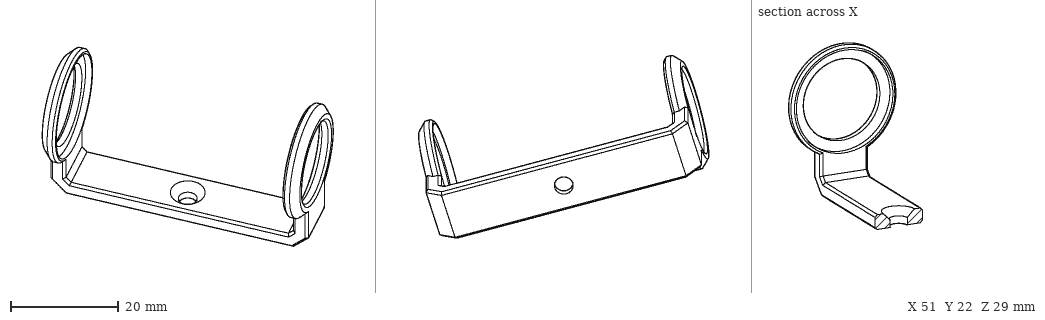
import cadquery as cq

length = 51.0
strap_width = 10.0
thickness = 3.0
edge_chamfer = 0.5
outer_corner = 3.0
inner_corner = 1.0

ring_diameter = 22.0
ring_axis_height = 18.0
ring_outer_chamfer = 1.5
ring_inner_chamfer = 0.5
bore_diameter = 16.0
bore_chamfer = 0.5
recess_diameter = 20.2
recess_depth = 1.25

screw_diameter = 3.5
countersink_diameter = 6.5
countersink_angle = 90.0

half_length = length / 2
inner_half_length = half_length - thickness


def make_strap():
    """U-shaped strap with bevelled corners; its arms reach up to the ring axis."""
    outline = [
        (-half_length, ring_axis_height),
        (-half_length, outer_corner),
        (-half_length + outer_corner, 0),
        (half_length - outer_corner, 0),
        (half_length, outer_corner),
        (half_length, ring_axis_height),
        (inner_half_length, ring_axis_height),
        (inner_half_length, thickness + inner_corner),
        (inner_half_length - inner_corner, thickness),
        (-inner_half_length + inner_corner, thickness),
        (-inner_half_length, thickness + inner_corner),
        (-inner_half_length, ring_axis_height),
    ]
    strap = cq.Workplane("XZ").polyline(outline).close().extrude(strap_width / 2, both=True)
    return strap.faces("<Y or >Y").chamfer(edge_chamfer)


def revolve_at_left_end(profile):
    """Revolve (depth from the outer face, radius) points about the left ring axis."""
    plane = cq.Plane(origin=(-half_length, 0, ring_axis_height), xDir=(1, 0, 0), normal=(0, -1, 0))
    return cq.Workplane(plane).polyline(profile).close().revolve(360, (0, 0), (1, 0))


def make_ring_disc():
    """Solid disc with a wide bevel outside and a narrow bevel inside."""
    radius = ring_diameter / 2
    return revolve_at_left_end([
        (0, 0),
        (0, radius - ring_outer_chamfer),
        (ring_outer_chamfer, radius),
        (thickness - ring_inner_chamfer, radius),
        (thickness, radius - ring_inner_chamfer),
        (thickness, 0),
    ])


def make_ring_opening():
    """Bore with a bevelled outer mouth and a wider recess on the inner side."""
    bore_radius = bore_diameter / 2
    recess_radius = recess_diameter / 2
    recess_floor = thickness - recess_depth
    return revolve_at_left_end([
        (0, 0),
        (0, bore_radius + bore_chamfer),
        (bore_chamfer, bore_radius),
        (recess_floor, bore_radius),
        (recess_floor, recess_radius),
        (thickness, recess_radius),
        (thickness, 0),
    ])


def with_mirror(body):
    """The body together with its mirror image at the right end."""
    return body.union(body.mirror("YZ"))


def cut_screw_hole(body):
    """Countersunk through hole at the centre of the floor."""
    floor_top = cq.Workplane("XY", origin=(0, 0, thickness))
    screw_tool = floor_top.circle(screw_diameter / 2).extrude(-thickness)
    countersink_depth = (countersink_diameter - screw_diameter) / 2
    cone = floor_top.circle(countersink_diameter / 2).extrude(-countersink_depth, taper=countersink_angle / 2)
    return body.cut(screw_tool).cut(cone)


bracket = make_strap().union(with_mirror(make_ring_disc()))
bracket = bracket.cut(with_mirror(make_ring_opening()))
result = cut_screw_hole(bracket)